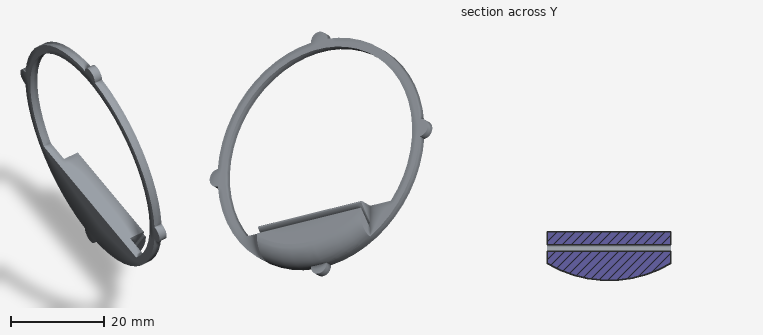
import cadquery as cq
import math

ring_outer_radius = 26.0
ring_width = 2.0
ring_inner_radius = ring_outer_radius - ring_width
plate_thickness = 1.8
lobe_radius = 2.0
lobe_count = 4
lobe_root_radius = ring_outer_radius - ring_width / 2
chord_z = -15.25

clip_length = 26.5
clip_depth = 4.0
slot_angle = math.radians(45)
slot_height = 1.3
tip_radius = 0.3

plate_back_y = plate_thickness
clip_back_y = plate_back_y + clip_depth
slope_drop = clip_depth * math.tan(slot_angle)


def cylinder_along_y(radius, start_y, length):
    """Cylinder about the Y axis, from start_y toward +Y."""
    base = cq.Workplane("XZ", origin=(0, start_y, 0))
    return base.circle(radius).extrude(-length)


def clip_prism(points):
    """Prism of a (Y, Z) outline, centred on X over the clip length."""
    return cq.Workplane("YZ").polyline(points).close().extrude(clip_length / 2, both=True)


def round_tip(body, tip_y, tip_z):
    """Round the edge along X that passes through the given (Y, Z) point."""
    tip_edge = cq.selectors.NearestToPointSelector((0, tip_y, tip_z))
    return body.edges(tip_edge).fillet(tip_radius)


def make_lobe():
    """Straight-sided lobe at +X, ending in a half round centred on the ring's rim."""
    profile = (
        cq.Workplane("XZ")
        .moveTo(lobe_root_radius, -lobe_radius)
        .lineTo(ring_outer_radius, -lobe_radius)
        .threePointArc((ring_outer_radius + lobe_radius, 0), (ring_outer_radius, lobe_radius))
        .lineTo(lobe_root_radius, lobe_radius)
        .close()
    )
    return profile.extrude(-plate_thickness)


def make_plate():
    """Ring with a filled lower segment and evenly spaced round lobes."""
    plate = cylinder_along_y(ring_outer_radius, 0, plate_thickness)
    opening_height = ring_inner_radius - chord_z
    above_chord = cq.Workplane("XY").box(
        2 * ring_inner_radius, plate_thickness, opening_height, centered=(True, False, False)
    ).translate((0, 0, chord_z))
    opening = cylinder_along_y(ring_inner_radius, 0, plate_thickness).intersect(above_chord)
    plate = plate.cut(opening)
    lobe = make_lobe()
    for index in range(lobe_count):
        plate = plate.union(lobe.rotate((0, 0, 0), (0, 1, 0), index * 360 / lobe_count))
    return plate


def make_wedge():
    """Triangular rib level with the chord, tapering away from the plate."""
    wedge = clip_prism([
        (0, chord_z),
        (clip_back_y, chord_z),
        (plate_back_y, chord_z - slope_drop),
        (0, chord_z - slope_drop),
    ])
    return round_tip(wedge, clip_back_y, chord_z)


def make_rounded_back():
    """Disc behind the plate whose rim is a quarter round as deep as the clip."""
    flat_radius = ring_outer_radius - clip_depth
    arc_reach = clip_depth * math.sqrt(0.5)
    profile = (
        cq.Workplane("XY")
        .moveTo(0, plate_back_y)
        .lineTo(ring_outer_radius, plate_back_y)
        .threePointArc((flat_radius + arc_reach, plate_back_y + arc_reach), (flat_radius, clip_back_y))
        .lineTo(0, clip_back_y)
        .close()
    )
    return profile.revolve(360, (0, 0, 0), (0, 1, 0))


def make_hook():
    """Hook under the slot, its underside following the rim and rounded at the back."""
    tip_z = chord_z - slot_height
    root_z = tip_z - slope_drop
    hook = clip_prism([
        (0, root_z),
        (plate_back_y, root_z),
        (clip_back_y, tip_z),
        (clip_back_y, -ring_outer_radius),
        (0, -ring_outer_radius),
    ])
    hook = round_tip(hook, clip_back_y, tip_z)
    rounded_disc = cylinder_along_y(ring_outer_radius, 0, plate_thickness).union(make_rounded_back())
    return hook.intersect(rounded_disc)


result = make_plate().union(make_wedge()).union(make_hook())